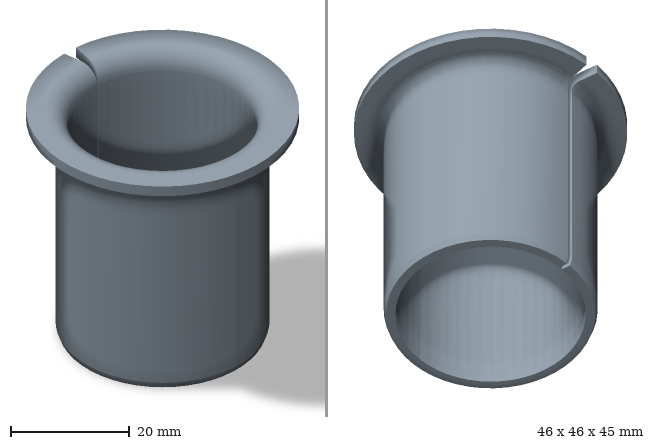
import cadquery as cq
import math

flange_diameter = 46.0
body_diameter = 36.0
bore_diameter = 32.0
total_length = 45.0
flange_thickness = 2.0
mouth_radius = 3.5
neck_radius = 1.5
chamfer_height = 1.2
chamfer_width = 0.4
slit_inner_width = 0.3
slit_half_angle = 9.5

flange_radius = flange_diameter / 2
body_radius = body_diameter / 2
bore_radius = bore_diameter / 2
flange_underside = total_length - flange_thickness
diagonal = math.sqrt(0.5)


def flanged_sleeve():
    """Revolve the wall section, drawn as (radius, height), about Z."""
    mouth_center = (bore_radius + mouth_radius, total_length - mouth_radius)
    neck_center = (body_radius + neck_radius, flange_underside - neck_radius)
    return (
        cq.Workplane("XZ")
        .moveTo(bore_radius, 0)
        .lineTo(body_radius - chamfer_width, 0)
        .lineTo(body_radius, chamfer_height)
        .lineTo(body_radius, neck_center[1])
        .threePointArc(
            (neck_center[0] - neck_radius * diagonal, neck_center[1] + neck_radius * diagonal),
            (neck_center[0], flange_underside),
        )
        .lineTo(flange_radius, flange_underside)
        .lineTo(flange_radius, total_length)
        .lineTo(mouth_center[0], total_length)
        .threePointArc(
            (mouth_center[0] - mouth_radius * diagonal, mouth_center[1] + mouth_radius * diagonal),
            (bore_radius, mouth_center[1]),
        )
        .close()
        .revolve(360, (0, 0, 0), (0, 1, 0))
    )


def slit_cutter():
    """Full-height wedge on the -X side, widening outward from the bore."""
    slope = math.tan(math.radians(slit_half_angle))
    apex_x = -bore_radius + slit_inner_width / 2 / slope
    outer_x = -flange_radius
    outer_half_width = (apex_x - outer_x) * slope
    return (
        cq.Workplane("XY")
        .polyline([(apex_x, 0), (outer_x, outer_half_width), (outer_x, -outer_half_width)])
        .close()
        .extrude(total_length)
    )


result = flanged_sleeve().cut(slit_cutter())